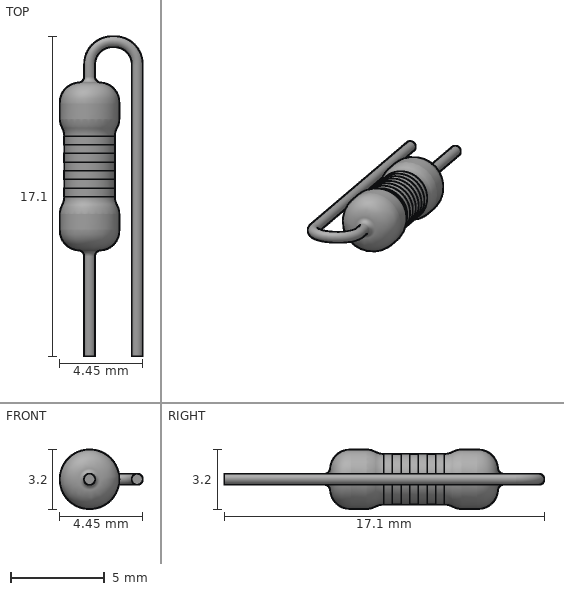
import cadquery as cq
import math

wire_diameter = 0.6
lead_pitch = 2.55
bend_radius = 1.21
overall_length = 17.1

cap_diameter = 3.2
core_diameter = 2.72
band_diameter = 2.74
band_width = 0.46
band_count = 4
cap_width = 0.82
dome_height = 1.13
collar_height = 0.3
collar_radius = 0.58
body_middle_y = 10.14

wire_radius = wire_diameter / 2
cap_radius = cap_diameter / 2
core_radius = core_diameter / 2
bend_center_y = overall_length - bend_radius - wire_radius

core_end = (2 * band_count - 1) * band_width / 2
last_band_start = core_end - band_width
shoulder_middle = core_end + band_width
cap_start = shoulder_middle + band_width
cap_end = cap_start + cap_width
dome_end = cap_end + dome_height
collar_end = dome_end + collar_height


def make_body_end():
    """Revolve the section from the last band out to the lead, about the Y axis."""
    shoulder_middle_radius = (core_radius + cap_radius) / 2
    diagonal = math.sqrt(0.5)
    dome_width = cap_radius - collar_radius
    dome_middle = (collar_radius + dome_width * diagonal, cap_end + dome_height * diagonal)
    collar_middle = (
        collar_radius - (collar_radius - wire_radius) * diagonal,
        collar_end - collar_height * diagonal,
    )
    return (
        cq.Workplane("XY")
        .moveTo(0, last_band_start)
        .lineTo(core_radius, last_band_start)
        .lineTo(core_radius, core_end)
        .tangentArcPoint((shoulder_middle_radius, shoulder_middle), relative=False)
        .tangentArcPoint((cap_radius, cap_start), relative=False)
        .lineTo(cap_radius, cap_end)
        .threePointArc(dome_middle, (collar_radius, dome_end))
        .threePointArc(collar_middle, (wire_radius, collar_end))
        .lineTo(0, collar_end)
        .close()
        .revolve(360, (0, 0), (0, 1))
    )


def make_body():
    """Join the core to two mirrored ends and add the evenly spaced raised bands."""
    core = cq.Workplane("XZ").circle(core_radius).extrude(core_end, both=True)
    body_end = make_body_end()
    body = core.union(body_end).union(body_end.mirror("XZ"))
    for index in range(band_count):
        band_start = -core_end + 2 * index * band_width
        band = (
            cq.Workplane("XZ", origin=(0, band_start, 0))
            .circle(band_diameter / 2)
            .extrude(-band_width)
        )
        body = body.union(band)
    return body.translate((0, body_middle_y, 0))


def make_bent_lead():
    """Sweep the wire out of the body's far end and back past its side."""
    start_y = body_middle_y + dome_end
    top_y = bend_center_y + bend_radius
    path = (
        cq.Workplane("XY")
        .moveTo(0, start_y)
        .lineTo(0, bend_center_y)
        .tangentArcPoint((bend_radius, top_y), relative=False)
        .lineTo(lead_pitch - bend_radius, top_y)
        .tangentArcPoint((lead_pitch, bend_center_y), relative=False)
        .lineTo(lead_pitch, 0)
    )
    return cq.Workplane("XZ", origin=(0, start_y, 0)).circle(wire_radius).sweep(path)


def make_straight_lead():
    """Run the other lead from the tip into the near end of the body."""
    length = body_middle_y - dome_end
    return cq.Workplane("XZ").circle(wire_radius).extrude(-length)


result = make_body().union(make_bent_lead()).union(make_straight_lead())